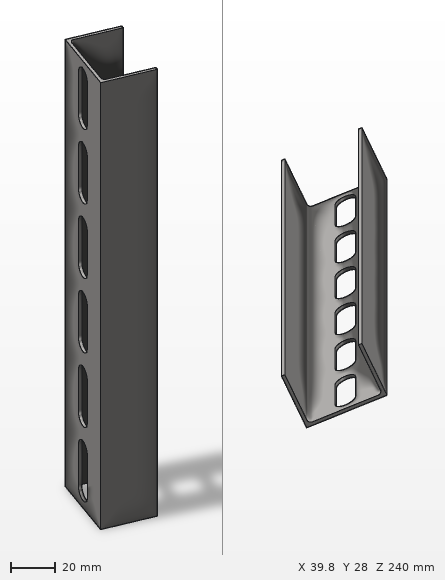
import cadquery as cq

length = 240.0
width = 39.8
depth = 28.0
wall = 1.7
inner_bend_radius = 2.0

slot_count = 6
slot_pitch = length / slot_count
slot_length = 32.0
slot_width = 10.0


def channel():
    outer = cq.Workplane("XY").box(width, depth, length, centered=(True, False, False))
    inner = (
        cq.Workplane("XY")
        .box(width - 2 * wall, depth - wall, length, centered=(True, False, False))
        .translate((0, wall, 0))
    )
    inner = inner.edges("|Z and <Y").fillet(inner_bend_radius)
    return outer.cut(inner)


def web_slots():
    centers = [(0, (index + 0.5) * slot_pitch) for index in range(slot_count)]
    return (
        cq.Workplane("XZ")
        .pushPoints(centers)
        .slot2D(slot_length, slot_width, 90)
        .extrude(-wall)
    )


result = channel().cut(web_slots())